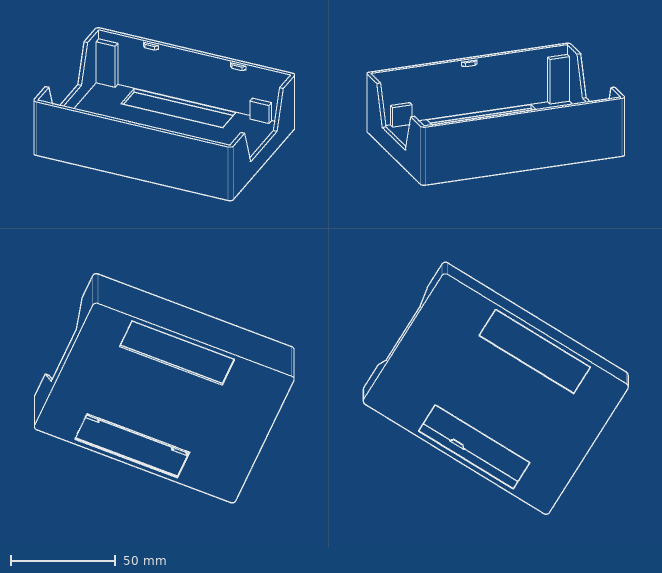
import cadquery as cq

length = 104.5
width = 74.5
height = 30.0
wall = 2.0
corner_radius = 2.0
inner_length = length - 2 * wall
inner_width = width - 2 * wall

notch_floor_z = 10.0
notch_bottom_width = 30.5
notch_top_width = 44.9

window_length = 53.3
window_width = 15.0
window_center_x = -4.9
window_ledge = 0.4

block_length = 10.0
block_depth = 3.0
tall_block_height = 23.0
short_block_height = 10.0
tall_block_x = -inner_length / 2 + block_length / 2
short_block_x = 35.3

clip_tip_width = 5.0
clip_depth = 1.5
clip_base_width = clip_tip_width + 2 * clip_depth
clip_height = 2.0
clip_drop = 1.0
back_clip_offset = 22.9
clip_places = ((-back_clip_offset, 1), (back_clip_offset, 1), (0, -1))


def make_tray():
    outer = cq.Workplane("XY").rect(length, width).extrude(height).edges("|Z").fillet(corner_radius)
    cavity = cq.Workplane("XY").workplane(offset=wall).rect(inner_length, inner_width).extrude(height)
    return outer.cut(cavity)


def make_notch():
    profile = [
        (-notch_bottom_width / 2, notch_floor_z),
        (notch_bottom_width / 2, notch_floor_z),
        (notch_top_width / 2, height),
        (-notch_top_width / 2, height),
    ]
    return cq.Workplane("YZ").polyline(profile).close().extrude(length / 2, both=True)


def make_windows():
    center_y = inner_width / 2 - window_ledge - window_width / 2
    centers = [(window_center_x, side * center_y) for side in (-1, 1)]
    return cq.Workplane("XY").pushPoints(centers).rect(window_length, window_width).extrude(wall)


def make_block_pair(center_x, block_height):
    center_y = inner_width / 2 - block_depth / 2
    centers = [(center_x, side * center_y) for side in (-1, 1)]
    floor = cq.Workplane("XY").workplane(offset=wall)
    return floor.pushPoints(centers).rect(block_length, block_depth).extrude(block_height)


def make_clip(center_x, side):
    """Clip on the +Y wall (side = 1) or the -Y wall (side = -1)."""
    base_y = side * inner_width / 2
    tip_y = side * (inner_width / 2 - clip_depth)
    outline = [
        (center_x - clip_base_width / 2, base_y),
        (center_x + clip_base_width / 2, base_y),
        (center_x + clip_tip_width / 2, tip_y),
        (center_x - clip_tip_width / 2, tip_y),
    ]
    bottom_z = height - clip_drop - clip_height
    return cq.Workplane("XY").workplane(offset=bottom_z).polyline(outline).close().extrude(clip_height)


result = make_tray().cut(make_notch()).cut(make_windows())
result = result.union(make_block_pair(tall_block_x, tall_block_height))
result = result.union(make_block_pair(short_block_x, short_block_height))
for clip_x, wall_side in clip_places:
    result = result.union(make_clip(clip_x, wall_side))